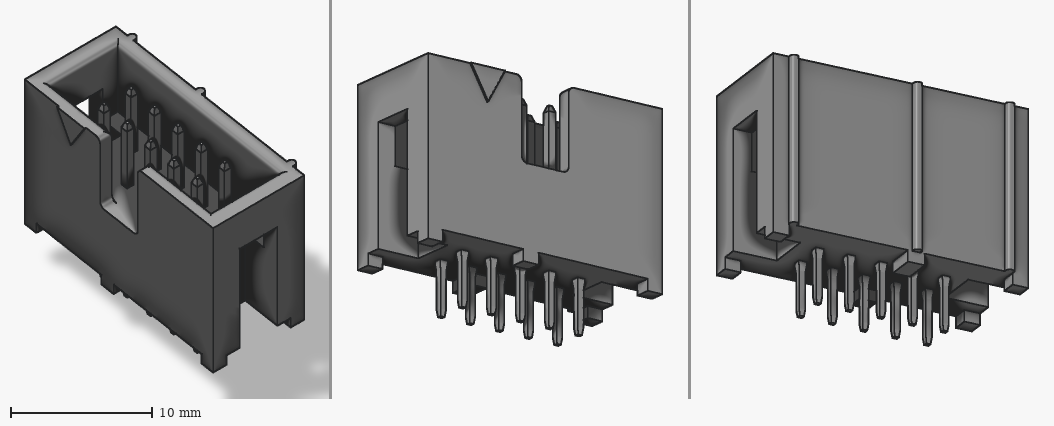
import cadquery as cq

length = 20.5
width = 8.5
height = 13.0

end_wall = 1.5
side_wall = 1.1
cavity_depth = 6.5
edge_radius = 0.5

key_width = 4.1

window_width = 3.5
window_reach = 3.5
window_top_margin = 3.48

foot_height = 0.9
foot_size = 1.27
middle_foot_width = 1.35
middle_foot_x = -1.25
deep_foot_depth = 2.25

rib_width = 0.65
rib_height = 0.5
end_rib_x = 8.67
mark_width = 3.0
mark_height = 2.62
mark_thickness = 0.15

pin_pitch = 2.55
pins_per_row = 5
pin_width = 0.64
pin_top_gap = 0.53
pin_top_taper = 0.51
pin_top_tip = 0.27
collar_height = 0.2
collar_taper = 0.55
tail_width = 0.5
tail_length = 4.2
tail_taper = 0.53
tail_tip = 0.35

left_x = -length / 2
right_x = length / 2
front_y = -width / 2
back_y = width / 2
floor_z = height - cavity_depth
cavity_half_x = length / 2 - end_wall
cavity_half_y = width / 2 - side_wall


def box(x_min, x_max, y_min, y_max, z_min, z_max):
    """Box between the given limits."""
    size = (x_max - x_min, y_max - y_min, z_max - z_min)
    return cq.Workplane("XY").box(*size, centered=False).translate((x_min, y_min, z_min))


def shroud():
    """Open-topped housing with a keying slot in the front wall and a rounded inner rim."""
    half_key = key_width / 2
    cavity = box(-cavity_half_x, cavity_half_x, -cavity_half_y, cavity_half_y, floor_z, height)
    slot = box(-half_key, half_key, front_y, -cavity_half_y, floor_z, height)
    slot = slot.edges("|Y and <Z").fillet(edge_radius)
    body = box(left_x, right_x, front_y, back_y, 0, height).cut(cavity).cut(slot)

    margin = side_wall / 4
    rim = cq.selectors.BoxSelector(
        (left_x + margin, front_y + margin, height - margin),
        (right_x - margin, back_y - margin, height + margin),
    )
    return body.edges(rim).fillet(edge_radius)


def end_windows():
    """Cutters that open both end walls and the ends of the floor."""
    half_width = window_width / 2
    top_z = height - window_top_margin
    left = box(left_x, left_x + window_reach, -half_width, half_width, 0, top_z)
    return left.union(left.mirror("YZ"))


def feet():
    """Standoff feet at the corners and in the middle of both long sides."""
    corner = box(left_x, left_x + foot_size, front_y, front_y + foot_size, -foot_height, 0)
    front_corners = corner.union(corner.mirror("YZ"))
    corners = front_corners.union(front_corners.mirror("XZ"))

    middle_left = middle_foot_x - middle_foot_width / 2
    middle_right = middle_foot_x + middle_foot_width / 2
    front_middle = box(middle_left, middle_right, front_y, front_y + foot_size, -foot_height, 0)
    back_middle = box(middle_left, middle_right, back_y - deep_foot_depth, back_y, -foot_height, 0)
    return corners.union(front_middle).union(back_middle)


def rib(x):
    """Vertical round-nosed rib on the back wall."""
    radius = rib_width / 2
    shoulder_y = back_y + rib_height - radius
    return (
        cq.Workplane("XY")
        .moveTo(x - radius, back_y)
        .lineTo(x - radius, shoulder_y)
        .threePointArc((x, back_y + rib_height), (x + radius, shoulder_y))
        .lineTo(x + radius, back_y)
        .close()
        .extrude(height)
    )


def pin_one_mark(x):
    """Raised triangle on the front wall pointing down at the first pin."""
    half_width = mark_width / 2
    corners = [(x - half_width, height), (x + half_width, height), (x, height - mark_height)]
    return cq.Workplane("XZ", origin=(0, front_y, 0)).polyline(corners).close().extrude(mark_thickness)


def taper(z_start, start_width, z_end, end_width):
    """Square section that changes width evenly between two heights."""
    return (
        cq.Workplane("XY", origin=(0, 0, z_start))
        .rect(start_width, start_width)
        .workplane(offset=z_end - z_start)
        .rect(end_width, end_width)
        .loft(ruled=True)
    )


def pin():
    """Square pin with a pointed contact above, and a collar and thinner pointed tail below."""
    tip_z = height - pin_top_gap
    point_z = tip_z - pin_top_taper
    tail_top_z = -collar_height - collar_taper
    tail_point_z = tail_taper - tail_length
    half_pin = pin_width / 2
    half_tail = tail_width / 2
    contact = box(-half_pin, half_pin, -half_pin, half_pin, -collar_height, point_z)
    tail = box(-half_tail, half_tail, -half_tail, half_tail, tail_point_z, tail_top_z)
    return (
        contact.union(taper(point_z, pin_width, tip_z, pin_top_tip))
        .union(taper(-collar_height, pin_width, tail_top_z, tail_width))
        .union(tail)
        .union(taper(tail_point_z, tail_width, -tail_length, tail_tip))
    )


first_pin_x = -pin_pitch * (pins_per_row - 1) / 2

result = shroud().cut(end_windows()).union(feet()).union(pin_one_mark(first_pin_x))
for rib_x in (-end_rib_x, middle_foot_x, end_rib_x):
    result = result.union(rib(rib_x))
for row_y in (-pin_pitch / 2, pin_pitch / 2):
    for column in range(pins_per_row):
        result = result.union(pin().translate((first_pin_x + column * pin_pitch, row_y, 0)))